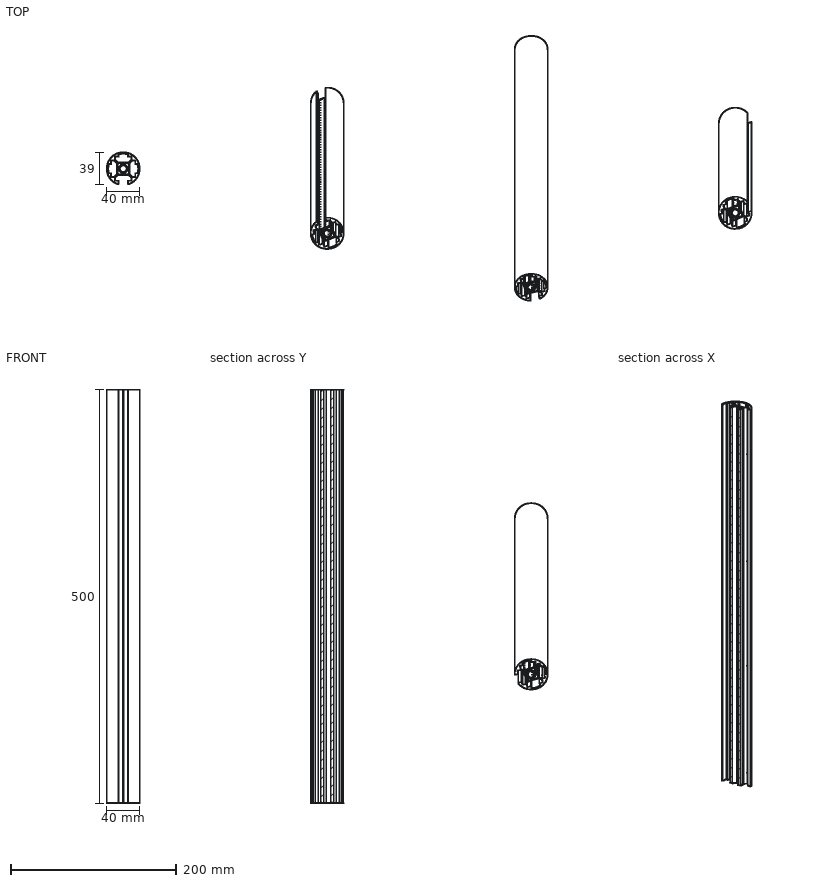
import cadquery as cq
import math

length = 500.0
outer_radius = 20.0
skin_thickness = 2.0
slot_opening = 11.0
mouth_chamfer = 0.75
slot_width = 19.5
lip_depth = 14.5
core_width = 16.0
web_offset = 1.0
groove_width = 1.0
groove_depth = 0.25
bore_diameter = 8.0
hub_wall = 1.25
rib_thickness = 2.0
core_wall = 1.25
cavity_chamfer = 1.0

core_half = core_width / 2
skin_inner_radius = outer_radius - skin_thickness
hub_radius = bore_diameter / 2 + hub_wall


def block(width, y_start, y_end):
    """Full-length block centred on X = 0 between two Y positions."""
    return (
        cq.Workplane("XY")
        .center(0, (y_start + y_end) / 2)
        .rect(width, y_end - y_start)
        .extrude(length)
    )


def cylinder(radius):
    """Full-length cylinder on the profile axis."""
    return cq.Workplane("XY").circle(radius).extrude(length)


def slot():
    """T-slot facing +Y with sloped floor corners and a centre groove."""
    wall_x = slot_width / 2
    floor_x = core_half - web_offset
    undercut = (
        cq.Workplane("XY")
        .moveTo(-floor_x, core_half)
        .lineTo(floor_x, core_half)
        .lineTo(wall_x, wall_x + web_offset)
        .lineTo(wall_x, lip_depth)
        .lineTo(-wall_x, lip_depth)
        .lineTo(-wall_x, wall_x + web_offset)
        .close()
        .extrude(length)
    )
    neck = block(slot_opening, core_half, outer_radius)
    groove = block(groove_width, core_half - groove_depth, core_half)
    return undercut.union(neck).union(groove)


def corner_cavity():
    """Hollow in the +X +Y corner of the core, bounded by the hub and two ribs."""
    inner = rib_thickness / 2
    outer = core_half - core_wall
    return (
        cq.Workplane("XY")
        .moveTo(inner, inner)
        .lineTo(outer, inner)
        .lineTo(outer, outer - cavity_chamfer)
        .lineTo(outer - cavity_chamfer, outer)
        .lineTo(inner, outer)
        .close()
        .extrude(length)
        .cut(cylinder(hub_radius))
    )


def turned(body, angle):
    """Body rotated about the profile axis."""
    return body.rotate((0, 0, 0), (0, 0, 1), angle)


profile = cylinder(outer_radius).cut(cylinder(bore_diameter / 2))

profile = profile.cut(turned(slot(), 180))
mouth_half = slot_opening / 2
mouth_y = -math.sqrt(outer_radius**2 - mouth_half**2)
for side in (-1, 1):
    mouth_edge = cq.NearestToPointSelector((side * mouth_half, mouth_y, length / 2))
    profile = profile.edges("|Z").edges(mouth_edge).chamfer(mouth_chamfer)

closed_slot = slot().intersect(cylinder(skin_inner_radius))
for angle in (0, 90, 270):
    profile = profile.cut(turned(closed_slot, angle))

for angle in (0, 90, 180, 270):
    profile = profile.cut(turned(corner_cavity(), angle))

result = profile